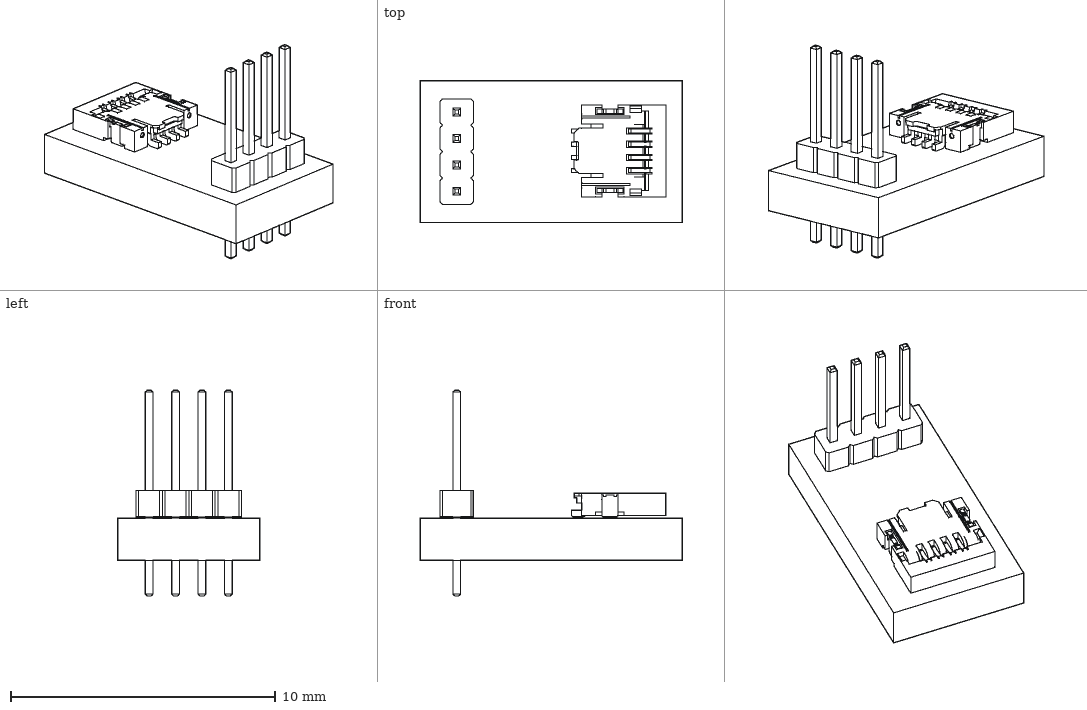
import cadquery as cq
import math

BOARD_LENGTH = 9.93
BOARD_WIDTH = 5.38
BOARD_THICKNESS = 1.6
SOLDER_GAP = 0.05

PIN_COUNT = 4
HEADER_PITCH = 1.0
HEADER_X = -3.58
HEADER_WIDTH = 1.27
HEADER_HEIGHT = 1.0
HEADER_CHAMFER = 0.1
PIN_SIDE = 0.3
PIN_LENGTH = 7.8
PIN_BELOW_HOUSING = 3.0
PIN_TIP_CHAMFER = PIN_SIDE / 4
PIN_HOLE_DIAMETER = 0.5

CONNECTOR_X = 1.155
CONNECTOR_Y = 0.03
BODY_LENGTH = 3.19
BODY_WIDTH = 3.48
BODY_BOTTOM = 0.1
BODY_HEIGHT = 0.85
BODY_TOP = BODY_BOTTOM + BODY_HEIGHT
CUT_MARGIN = 0.2

CONTACT_COUNT = 4
CONTACT_PITCH = 0.5
CONTACT_WIDTH = 0.16

TAIL_OVERHANG = 0.39
TAIL_HEIGHT = 0.26
TAIL_CHAMFER = 0.05
RISER_LENGTH = 0.2
HEEL_RADIUS = 0.18

MOUTH_DEPTH = 0.6

TONGUE_HALF_WIDTH = 0.86
TONGUE_OVERHANG = 0.29
TONGUE_TOP_THICKNESS = 0.1
TONGUE_THICKNESS = 0.18
TONGUE_CHAMFER = 0.18
TONGUE_NOTCH_DEPTH = 0.17
TONGUE_NOTCH_WIDTH = 0.7
TONGUE_NOTCH_RADIUS = 0.06
LIP_OVERHANG = 0.19
LIP_HEIGHT = 0.38
MOUTH_CEILING = BODY_TOP - LIP_HEIGHT

ARM_INNER_Y = 1.01
ARM_SLOT_OPEN_LENGTH = 0.36
ARM_SLOT_LENGTH = 0.81
ARM_SLOT_DEPTH = 0.15
ARM_HOLE_DIAMETER = 0.2
ARM_HOLE_DEPTH = 0.05
ARM_HOLE_Y = 1.3
ARM_HOLE_Z = 0.66

GROOVE_LENGTH = 1.82
GROOVE_WIDTH = 0.07
GROOVE_DEPTH = 0.1
GROOVE_Y = 1.28

CLIP_X = 1.065
CLIP_WINDOW_LENGTH = 0.61
CLIP_FACE_Y = 1.58
CLIP_POCKET_LENGTH = 1.08
CLIP_POCKET_INNER_Y = 1.37
CLIP_POCKET_OUTER_Y = 1.64
CLIP_POCKET_DEPTH = 0.25
CLIP_FOOT_HEIGHT = 0.13
CLIP_INNER_Y = 1.42
CLIP_LENGTH = 0.98
CLIP_TOP_DROP = 0.03
CLIP_DIP = 0.04
CLIP_FOOT_CHAMFER = 0.04
CLIP_GROOVE_OFFSET = 0.2
CLIP_GROOVE_WIDTH = 0.1
CLIP_GROOVE_DEPTH = 0.06

WINDOW_HALF_WIDTH = 1.51
WINDOW_DEPTH = 0.4
WINDOW_BACK = 2.52
WINDOW_BACK_FLOOR = 2.41
ROUND_RADIUS = 0.33
END_ROUND_START = 2.05
MIDDLE_ROUND_START = 1.99
MIDDLE_ROUND_HALF_WIDTH = 0.99
MIDDLE_LEDGE_DROP = 0.26
PIVOT_X = 1.82
PIVOT_LENGTH = 0.44
PIVOT_INNER_Y = 1.45
PIVOT_OUTER_Y = 1.7
PIVOT_FLOOR_Y = 1.6
PIVOT_DEPTH = 0.2

SLOT_START = 1.69
SLOT_END = 2.67
SLOT_WIDTH = 0.24
SLOT_DEPTH = 0.3
BEAM_FOOT_X = 1.78
BEAM_START = 1.87
BEAM_BEND_X = 2.12
BEAM_FRONT_DROP = 0.16
BEAM_BACK_DROP = 0.12
POST_START = 2.58
POST_HEIGHT = 0.006


def block(x_range, y_range, z_range):
    """Box between the given limits."""
    x0, x1 = x_range
    y0, y1 = y_range
    z0, z1 = z_range
    return cq.Workplane("XY").box(x1 - x0, y1 - y0, z1 - z0, centered=False).translate((x0, y0, z0))


def both_sides(shape):
    """The shape together with its mirror image across the XZ plane."""
    return shape.union(shape.mirror("XZ"))


def row(count, pitch):
    """Evenly spaced positions centred on zero."""
    return [(i - (count - 1) / 2) * pitch for i in range(count)]


def make_board():
    holes = [(HEADER_X, y) for y in row(PIN_COUNT, HEADER_PITCH)]
    board = cq.Workplane("XY").box(BOARD_LENGTH, BOARD_WIDTH, BOARD_THICKNESS, centered=(True, True, False))
    drills = cq.Workplane("XY").pushPoints(holes).circle(PIN_HOLE_DIAMETER / 2).extrude(BOARD_THICKNESS)
    return board.cut(drills).translate((0, 0, -BOARD_THICKNESS))


def make_header_cell():
    """One octagonal housing cell with its pin."""
    housing = cq.Workplane("XY").box(HEADER_WIDTH, HEADER_PITCH, HEADER_HEIGHT, centered=(True, True, False))
    housing = housing.edges("|Z").chamfer(HEADER_CHAMFER)
    pin = cq.Workplane("XY").box(PIN_SIDE, PIN_SIDE, PIN_LENGTH, centered=(True, True, False))
    pin = pin.faces("<Z or >Z").chamfer(PIN_TIP_CHAMFER)
    return housing.union(pin.translate((0, 0, -PIN_BELOW_HOUSING)))


def make_header():
    header = cq.Workplane("XY")
    for y in row(PIN_COUNT, HEADER_PITCH):
        header = header.union(make_header_cell().translate((HEADER_X, y, SOLDER_GAP)))
    return header


def make_tongue():
    """Stepped tongue: a chamfered top plate, a thicker middle and a set-back lip."""
    plate = block(
        (-TONGUE_OVERHANG, ARM_SLOT_OPEN_LENGTH),
        (-TONGUE_HALF_WIDTH, TONGUE_HALF_WIDTH),
        (BODY_TOP - TONGUE_TOP_THICKNESS, BODY_TOP),
    )
    plate = plate.edges("|Z and <X").chamfer(TONGUE_CHAMFER)
    middle_half_width = TONGUE_HALF_WIDTH - TONGUE_CHAMFER
    middle = block(
        (-TONGUE_OVERHANG, 0),
        (-middle_half_width, middle_half_width),
        (BODY_TOP - TONGUE_THICKNESS, BODY_TOP - TONGUE_TOP_THICKNESS),
    )
    notch = block(
        (-TONGUE_OVERHANG - CUT_MARGIN, -TONGUE_OVERHANG + TONGUE_NOTCH_DEPTH),
        (-TONGUE_NOTCH_WIDTH / 2, TONGUE_NOTCH_WIDTH / 2),
        (BODY_TOP - TONGUE_THICKNESS, BODY_TOP),
    )
    notch = notch.edges("|Z and >X").fillet(TONGUE_NOTCH_RADIUS)
    lip = block(
        (-LIP_OVERHANG, 0),
        (-middle_half_width, middle_half_width),
        (MOUTH_CEILING, BODY_TOP - TONGUE_THICKNESS),
    )
    return plate.union(middle).cut(notch).union(lip)


def make_arm_cuts():
    """Slots beside the tongue and the round dimple in each arm's front face."""
    open_slot = block(
        (-CUT_MARGIN, ARM_SLOT_OPEN_LENGTH),
        (TONGUE_HALF_WIDTH, ARM_INNER_Y),
        (BODY_BOTTOM, BODY_TOP),
    )
    blind_slot = block(
        (0, ARM_SLOT_LENGTH),
        (TONGUE_HALF_WIDTH, ARM_INNER_Y),
        (BODY_TOP - ARM_SLOT_DEPTH, BODY_TOP),
    )
    dimple = cq.Workplane("YZ").center(ARM_HOLE_Y, ARM_HOLE_Z).circle(ARM_HOLE_DIAMETER / 2)
    dimple = dimple.extrude(ARM_HOLE_DEPTH)
    return both_sides(open_slot.union(blind_slot).union(dimple))


def make_grooves():
    groove = block(
        (0, GROOVE_LENGTH),
        (GROOVE_Y - GROOVE_WIDTH / 2, GROOVE_Y + GROOVE_WIDTH / 2),
        (BODY_TOP - GROOVE_DEPTH, BODY_TOP),
    )
    return both_sides(groove)


def around_clip(length):
    """X limits of a stretch centred on the clip."""
    return (CLIP_X - length / 2, CLIP_X + length / 2)


def make_clip_cuts():
    """Side window, top pocket and foot relief around each solder clip."""
    outside = BODY_WIDTH / 2
    window = block(around_clip(CLIP_WINDOW_LENGTH), (CLIP_FACE_Y, outside), (BODY_BOTTOM, BODY_TOP))
    pocket = block(
        around_clip(CLIP_POCKET_LENGTH),
        (CLIP_POCKET_INNER_Y, CLIP_POCKET_OUTER_Y),
        (BODY_TOP - CLIP_POCKET_DEPTH, BODY_TOP),
    )
    foot = block(
        around_clip(CLIP_POCKET_LENGTH),
        (CLIP_INNER_Y, outside),
        (BODY_BOTTOM, BODY_BOTTOM + CLIP_FOOT_HEIGHT),
    )
    return both_sides(window.union(pocket).union(foot))


def make_clips():
    """Metal plates: wide shoulders in the top pocket, a lower middle and a leg to the solder face."""
    shoulder_top = BODY_TOP - CLIP_TOP_DROP
    middle_top = shoulder_top - CLIP_DIP
    thickness = (CLIP_INNER_Y, CLIP_FACE_Y)
    head = block(around_clip(CLIP_LENGTH), thickness, (BODY_TOP - CLIP_POCKET_DEPTH, shoulder_top))
    dip = block(around_clip(CLIP_WINDOW_LENGTH), thickness, (middle_top, shoulder_top))
    leg = block(around_clip(CLIP_WINDOW_LENGTH), thickness, (SOLDER_GAP, middle_top))
    leg = leg.edges("|Y and <Z").chamfer(CLIP_FOOT_CHAMFER)
    clip = head.cut(dip).union(leg)
    for side in (-1, 1):
        middle = CLIP_X + side * CLIP_GROOVE_OFFSET
        limits = (middle - CLIP_GROOVE_WIDTH / 2, middle + CLIP_GROOVE_WIDTH / 2)
        clip = clip.cut(block(limits, thickness, (middle_top - CLIP_GROOVE_DEPTH, middle_top)))
    return both_sides(clip)


def make_window(round_start, half_width):
    """Trough with a rolled front edge and a leaning back wall."""
    round_end = round_start + ROUND_RADIUS
    middle_reach = ROUND_RADIUS * math.sin(math.radians(45))
    floor = BODY_TOP - WINDOW_DEPTH
    profile = (
        cq.Workplane("XZ")
        .moveTo(round_start, BODY_TOP)
        .threePointArc(
            (round_start + middle_reach, BODY_TOP - ROUND_RADIUS + middle_reach),
            (round_end, BODY_TOP - ROUND_RADIUS),
        )
        .lineTo(round_end, floor)
        .lineTo(WINDOW_BACK_FLOOR, floor)
        .lineTo(WINDOW_BACK, BODY_TOP)
        .close()
    )
    return profile.extrude(half_width, both=True)


def make_actuator_cuts():
    """Window over the actuator's rolled edge and the pivot pockets at its ends."""
    floor = BODY_TOP - PIVOT_DEPTH
    pivot = (
        cq.Workplane("YZ")
        .moveTo(PIVOT_INNER_Y, BODY_TOP)
        .lineTo(PIVOT_INNER_Y, floor)
        .lineTo(PIVOT_FLOOR_Y, floor)
        .lineTo(PIVOT_OUTER_Y, BODY_TOP)
        .close()
        .extrude(PIVOT_LENGTH)
        .translate((PIVOT_X, 0, 0))
    )
    ends = make_window(END_ROUND_START, WINDOW_HALF_WIDTH)
    ledge_z = BODY_TOP - MIDDLE_LEDGE_DROP
    middle = make_window(MIDDLE_ROUND_START, MIDDLE_ROUND_HALF_WIDTH).intersect(
        block(
            (MIDDLE_ROUND_START, WINDOW_BACK),
            (-MIDDLE_ROUND_HALF_WIDTH, MIDDLE_ROUND_HALF_WIDTH),
            (ledge_z, BODY_TOP),
        )
    )
    return both_sides(pivot).union(ends).union(middle)


def make_contact_slot():
    return block((SLOT_START, SLOT_END), (-SLOT_WIDTH / 2, SLOT_WIDTH / 2), (BODY_TOP - SLOT_DEPTH, BODY_TOP))


def make_contact_beam():
    """Beam that bridges the window and ends in an upright post."""
    slot_floor = BODY_TOP - SLOT_DEPTH
    beam = (
        cq.Workplane("XZ")
        .moveTo(BEAM_FOOT_X, slot_floor)
        .lineTo(BEAM_START, BODY_TOP - BEAM_FRONT_DROP)
        .lineTo(BEAM_BEND_X, BODY_TOP - BEAM_FRONT_DROP)
        .lineTo(POST_START, BODY_TOP - BEAM_BACK_DROP)
        .lineTo(POST_START, BODY_TOP + POST_HEIGHT)
        .lineTo(SLOT_END, BODY_TOP)
        .lineTo(SLOT_END, slot_floor)
        .close()
    )
    return beam.extrude(CONTACT_WIDTH / 2, both=True)


def make_front_contact():
    """Solder tail with a rounded heel and a riser up to the mouth ceiling."""
    tail = block(
        (-TAIL_OVERHANG, RISER_LENGTH),
        (-CONTACT_WIDTH / 2, CONTACT_WIDTH / 2),
        (SOLDER_GAP, SOLDER_GAP + TAIL_HEIGHT),
    )
    riser = block(
        (0, RISER_LENGTH),
        (-CONTACT_WIDTH / 2, CONTACT_WIDTH / 2),
        (SOLDER_GAP, MOUTH_CEILING),
    )
    contact = tail.union(riser)
    contact = contact.edges("|Y and <X and <Z").chamfer(TAIL_CHAMFER)
    return contact.edges("|Y and >X and <Z").fillet(HEEL_RADIUS)


def make_mouth():
    """Opening between the arms, through the underside of the body."""
    return block((0, MOUTH_DEPTH), (-ARM_INNER_Y, ARM_INNER_Y), (BODY_BOTTOM, MOUTH_CEILING))


def make_connector():
    body = block((0, BODY_LENGTH), (-BODY_WIDTH / 2, BODY_WIDTH / 2), (BODY_BOTTOM, BODY_TOP))
    body = body.cut(make_arm_cuts()).cut(make_grooves()).cut(make_clip_cuts()).cut(make_actuator_cuts())
    body = body.cut(make_mouth())
    body = body.union(make_tongue()).union(make_clips())
    for y in row(CONTACT_COUNT, CONTACT_PITCH):
        body = body.cut(make_contact_slot().translate((0, y, 0)))
        body = body.union(make_contact_beam().translate((0, y, 0)))
        body = body.union(make_front_contact().translate((0, y, 0)))
    return body.translate((CONNECTOR_X, CONNECTOR_Y, 0))


board = make_board()
header = make_header()
connector = make_connector()

result = cq.Compound.makeCompound([board.val(), header.val(), connector.val()])